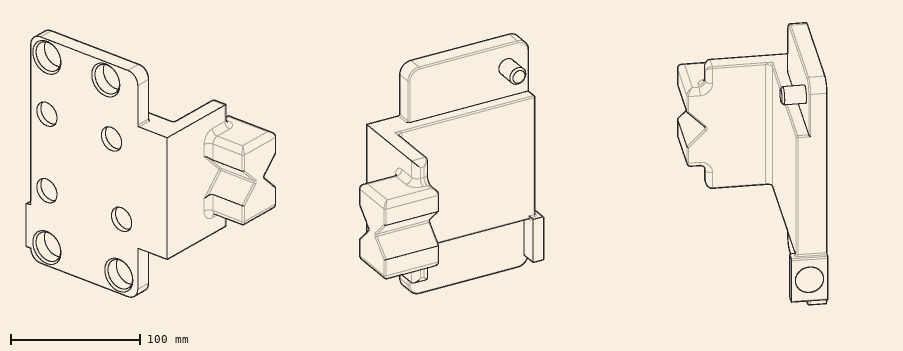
import cadquery as cq
height = 198.0
width = 177.0
depth = 90.0
edge_round = 1.2

plate_left = 5.0
plate_right = 112.3
plate_thickness = 14.0
plate_corner_radius = 9.9

body_height = 106.5
floor_thickness = 24.0
floor_fillet = 4.8
wall_left = 128.5
wall_right = 141.8
wall_depth = 75.0

block_height = 68.1
block_bottom = 49.9
block_round = 5.0
groove_depth = 15.0
groove_root_radius = 1.4

clip_width = 9.5
clip_depth = 28.5
clip_top = -51.5
clip_bottom = -89.3
recess_y = 14.5
recess_radius = 11.0
recess_depth = 0.4

hole_column = 21.2
port_row = 83.2
port_radius = 12.3
port_depth = 11.9
port_mouth_chamfer = 1.8
port_places = [
    (hole_column, port_row),
    (80.2, port_row),
    (hole_column, -port_row),
    (93.3, -port_row),
]

socket_row = 33.5
socket_radius = 10.0
socket_depth = 5.0
socket_places = [
    (hole_column, socket_row),
    (86.0, socket_row),
    (hole_column, -socket_row),
    (96.0, -socket_row),
]

pin_x = 24.8
pin_z = 79.2
pin_radius = 7.1
pin_end = 32.9
pin_chamfer = 1.8

half_body = body_height / 2
half_block = block_height / 2
tolerance = 0.1


def box(x_min, x_max, y_min, y_max, z_min, z_max):
    """Box between two limits along each axis."""
    corner = cq.Workplane("XY", origin=(x_min, y_min, z_min))
    return corner.box(x_max - x_min, y_max - y_min, z_max - z_min, centered=False)


def cylinder_from_face(x, z, radius, length):
    """Cylinder along Y, starting at the flat face."""
    return cq.Workplane("XZ", origin=(x, 0, z)).circle(radius).extrude(-length)


def near(value, target):
    return abs(value - target) < tolerance


def lies_at_x(edge, x):
    """True when the whole edge lies in the plane at this x."""
    bounds = edge.BoundingBox()
    return near(bounds.xmin, x) and near(bounds.xmax, x)


def lies_at_z(edge, z):
    """True when the whole edge lies in the plane at z or at -z."""
    bounds = edge.BoundingBox()
    return bounds.zlen < tolerance and near(abs(bounds.zmin), z)


def is_joint(edge):
    """Inner edge around the block, over the top and down the side of the wall."""
    bounds = edge.BoundingBox()
    beside_block = max(abs(bounds.zmin), abs(bounds.zmax)) < half_block + tolerance
    on_wall = bounds.xmax < wall_right + tolerance and bounds.ymax < wall_depth + tolerance
    return beside_block and on_wall and bounds.ymin > block_bottom - tolerance


def is_head_rim(edge):
    """Stepped outline of the head on the wall's inner side, and the top Z edges of the block."""
    y = edge.Center().y
    if lies_at_x(edge, wall_left):
        return wall_depth - tolerance < y < depth - tolerance
    return lies_at_z(edge, half_block) and near(y, depth)


def is_block_lip(edge):
    """Edge at either X end of the block that is still sharp, grooves included."""
    middle = edge.Center()
    if lies_at_x(edge, width):
        return not lies_at_z(edge, half_block - block_round)
    in_groove = abs(middle.z) < groove_depth and middle.y > depth - groove_depth
    return lies_at_x(edge, wall_left) and (in_groove or near(middle.y, depth))


def is_floor_end(edge):
    """Edge at the far left of the floor, along Z."""
    return lies_at_x(edge, plate_left) and near(edge.Center().y, floor_thickness)


def is_inner_corner(edge):
    """Corner along Z between the floor and the wall."""
    return lies_at_x(edge, wall_left) and near(edge.Center().y, floor_thickness)


def is_body_side(edge):
    """Edge of a Z end of the body along its left end, its floor or the inside of its wall."""
    on_floor = near(edge.Center().y, floor_thickness)
    on_end = lies_at_x(edge, plate_left) or lies_at_x(edge, wall_left)
    return lies_at_z(edge, half_body) and (on_floor or on_end)


def is_notch(edge):
    """Inner corner along Y between the right side of the plate and the tab."""
    return lies_at_x(edge, plate_right) and lies_at_z(edge, half_body)


def is_clip_joint(edge):
    """Inner edge where the clip's upper side meets the left end and the floor of the body."""
    bounds = edge.BoundingBox()
    along_body = plate_left - tolerance < bounds.xmin and bounds.xmax < clip_width + tolerance
    on_upper_side = near(bounds.zmin, clip_top) and near(bounds.zmax, clip_top)
    below_floor = edge.Center().y < floor_thickness + tolerance
    on_inner_side = lies_at_x(edge, clip_width) and near(edge.Center().y, floor_thickness)
    return (on_upper_side and along_body and below_floor) or on_inner_side


def groove(surface, inward, x_min):
    """Right-angled V along X that opens past a Y face; inward is the Y direction into the block."""
    root_y = surface + inward * groove_depth
    reach = groove_depth + block_round
    mouth_y = root_y - inward * reach
    outline = [(mouth_y, -reach), (root_y, 0), (mouth_y, reach)]
    vee = cq.Workplane("YZ", origin=(x_min, 0, 0)).polyline(outline).close().extrude(width - x_min)
    root = cq.selectors.NearestToPointSelector(((x_min + width) / 2, root_y, 0))
    vee = vee.edges("|X").edges(root).fillet(groove_root_radius)
    if x_min < wall_right:
        return vee
    flanks = vee.faces("<X").edges().filter(lambda edge: not near(edge.Center().y, mouth_y))
    return flanks.fillet(edge_round)


def corner_waste(x_min, x_max, y_min, y_max, z_max, rounded_edge):
    """Sharp material left outside a quarter round on the chosen edge of a corner box."""
    corner = box(x_min, x_max, y_min, y_max, z_max - 2 * block_round, z_max)
    return corner.cut(corner.edges(rounded_edge).fillet(block_round))


def make_head():
    """Wall with the block across its free end, rounded as one piece."""
    wall = box(wall_left, wall_right, 0, wall_depth, -half_body, half_body)
    wall = wall.faces(">Y").edges(">X").fillet(block_round)
    block = box(wall_left, width, block_bottom, depth, -half_block, half_block)
    block = block.faces("<Y").edges("|X").fillet(block_round)
    head = wall.union(block)
    head = head.edges().filter(is_joint).fillet(block_round)
    head = head.edges().filter(is_head_rim).fillet(block_round)

    wall_waste = corner_waste(
        wall_left, wall_right, wall_depth - 2 * block_round, wall_depth, half_body, "|X and >Y and >Z")
    block_waste = corner_waste(
        width - 2 * block_round, width, block_bottom, depth, half_block, "|Y and >X and >Z")
    for waste in (wall_waste, block_waste):
        head = head.cut(waste).cut(waste.mirror("XY"))

    head = head.cut(groove(depth, -1, wall_left))
    head = head.cut(groove(block_bottom, 1, wall_right))
    return head.edges().filter(is_block_lip).fillet(edge_round)


def make_body():
    """Floor and head, with the inner corner and the open edges rounded."""
    floor = box(plate_left, wall_right, 0, floor_thickness, -half_body, half_body)
    body = floor.union(make_head())
    body = body.edges().filter(lambda edge: is_body_side(edge) or is_floor_end(edge)).fillet(edge_round)
    return body.edges("|Z").filter(is_inner_corner).fillet(floor_fillet)


def make_plate():
    """Rounded plate with a tab under the body, and small rounds in the notches beside the tab."""
    plate = box(plate_left, plate_right, 0, plate_thickness, -height / 2, height / 2)
    plate = plate.edges("|Y").fillet(plate_corner_radius)
    tab = box(plate_left, wall_right, 0, plate_thickness, -half_body, half_body)
    plate = plate.union(tab)
    plate = plate.edges("|Y").filter(is_notch).fillet(edge_round)
    return plate.faces(">Y").edges().fillet(edge_round)


def make_clip():
    """Block on the lower left side, with a shallow round recess in its outer face."""
    clip = box(0, clip_width, 0, clip_depth, clip_bottom, clip_top)
    clip = clip.faces("<X").edges("|Y").fillet(edge_round)
    recess_z = (clip_top + clip_bottom) / 2
    recess = cq.Workplane("YZ", origin=(0, recess_y, recess_z)).circle(recess_radius).extrude(recess_depth)
    return clip.cut(recess)


def make_pin():
    """Locating pin with a chamfered end."""
    return cylinder_from_face(pin_x, pin_z, pin_radius, pin_end).faces(">Y").chamfer(pin_chamfer)


def make_port(x, z):
    """Blind hole with a chamfered mouth."""
    port = cylinder_from_face(x, z, port_radius, port_depth)
    cone = cq.Workplane("XZ", origin=(x, 0, z)).circle(port_radius + port_mouth_chamfer)
    cone = cone.workplane(offset=-port_mouth_chamfer).circle(port_radius).loft()
    return port.union(cone)


result = make_plate().union(make_body()).union(make_clip())
result = result.edges().filter(is_clip_joint).fillet(edge_round)
result = result.union(make_pin())

for x, z in port_places:
    result = result.cut(make_port(x, z))

for x, z in socket_places:
    result = result.cut(cylinder_from_face(x, z, socket_radius, socket_depth))